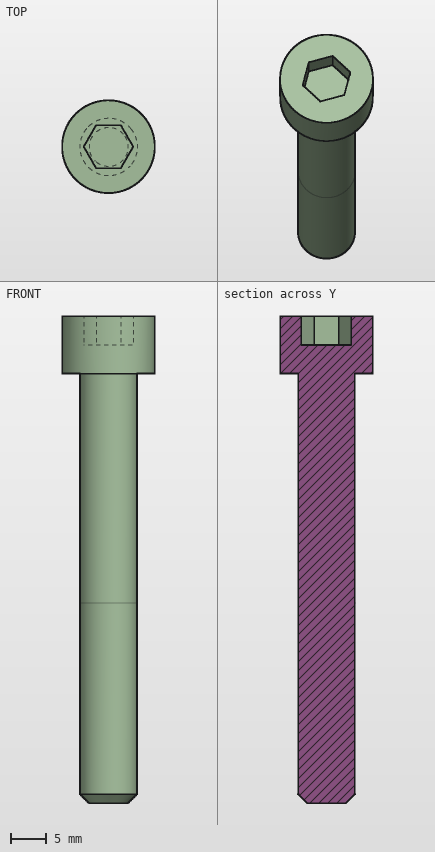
import cadquery as cq
import math

total_length = 68.0
head_diameter = 13.0
head_height = 8.0
shank_diameter = 8.0
thread_length = 28.0
tip_chamfer = 1.3
hex_across_flats = 6.0
hex_depth = 4.0

shank_length = total_length - head_height
plain_length = shank_length - thread_length
hex_across_corners = hex_across_flats / math.cos(math.radians(30))


def make_thread():
    """Threaded end as a plain cylinder at nominal diameter, with a chamfered tip."""
    thread = cq.Workplane("XY").circle(shank_diameter / 2).extrude(thread_length)
    return thread.faces("<Z").chamfer(tip_chamfer)


def make_plain_shank():
    """Unthreaded length between the thread and the head."""
    base = cq.Workplane("XY").workplane(offset=thread_length)
    return base.circle(shank_diameter / 2).extrude(plain_length)


def make_head():
    """Cylindrical head with a hexagonal socket, two corners on the X axis."""
    head = cq.Workplane("XY").workplane(offset=shank_length)
    head = head.circle(head_diameter / 2).extrude(head_height)
    socket = cq.Workplane("XY").workplane(offset=total_length)
    socket = socket.polygon(6, hex_across_corners).extrude(-hex_depth)
    return head.cut(socket)


result = make_thread().union(make_plain_shank(), clean=False).union(make_head(), clean=False)